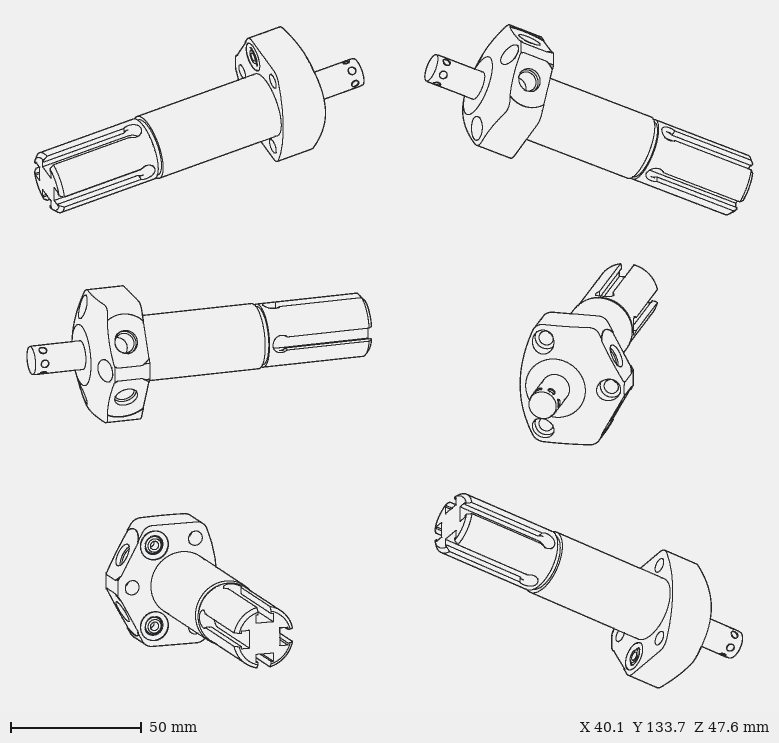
import math
import cadquery as cq


total_length = 133.71
stem_end_y = 39.3
tip_y = stem_end_y - total_length

flange_thickness = 19.1
flange_height = 47.62
flange_left = -25.87
flange_right = 14.24
left_edge_height = 6.4
port_face_angle = 61.5
side_arc_radius = 56.0
corner_radius = 4.5
bevel_inner_radius = 11.8
bevel_angle = 19.5

barrel_radius = 12.6
barrel_end_y = -50.8
groove_radius = 11.2
groove_end_y = -52.7
nose_radius = 12.2
nose_chamfer = 1.5

stem_radius = 5.55
stem_chamfer_length = 1.0
stem_chamfer_depth = 0.15
dimple_radius = 1.5
dimple_depth = 0.5
dimple_count = 6
dimple_y = stem_end_y - 3.8
dimple_tip_angle = 90.0

slot_count = 4
slot_mouth_width = 5.3
slot_floor_width = 7.0
slot_floor_radius = 6.15
slot_lip_radius = 9.4
slot_start_y = -57.6

mount_points = [(-20.2, 0.0), (5.5, 17.45), (5.5, -17.45)]
mount_hole_radius = 2.8
mount_counterbore_radius = 4.35
mount_counterbore_floor_y = 12.0

seal_port_x = -11.1
seal_port_z = 15.9
seal_seat_radius = 5.65
seal_seat_depth = 1.0
seal_boss_base_radius = 3.3
seal_boss_top_radius = 2.65
ring_centre_radius = 4.65
ring_section_radius = 1.0
ring_protrusion = 0.45
seal_port_radius = 1.65
seal_port_depth = 5.0

side_port_y = 8.05
side_port_z = 11.3
spotface_radius = 10.9
spotface_depth = 0.27
side_port_mouth_radius = 4.5
side_port_radius = 3.8
side_port_mouth_depth = 2.2
side_port_taper_length = 0.4
side_port_depth = 12.0

clearance = 10.0


def cylinder(radius, start, direction, length):
    return cq.Workplane(obj=cq.Solid.makeCylinder(radius, length, cq.Vector(*start), cq.Vector(*direction)))


def revolve_about_axis(points):
    """Revolve an (X, Y) outline around the Y axis."""
    return cq.Workplane("XY").polyline(points).close().revolve(360, (0, 0, 0), (0, 1, 0))


def make_flange():
    half_height = flange_height / 2
    half_edge = left_edge_height / 2
    slant_run = (half_height - half_edge) / math.tan(math.radians(port_face_angle))
    arc_drop = side_arc_radius - math.sqrt(side_arc_radius**2 - half_height**2)
    slant_top_x = flange_left + slant_run
    arc_top_x = flange_right - arc_drop
    plate = (
        cq.Workplane("XZ", origin=(0, flange_thickness, 0))
        .moveTo(flange_left, -half_edge)
        .lineTo(flange_left, half_edge)
        .lineTo(slant_top_x, half_height)
        .lineTo(arc_top_x, half_height)
        .threePointArc((flange_right, 0), (arc_top_x, -half_height))
        .lineTo(slant_top_x, -half_height)
        .close()
        .extrude(flange_thickness)
    )
    plate = plate.edges("|Y and (>Z or <Z)").fillet(corner_radius)
    envelope_radius = flange_height
    bevel_drop = (envelope_radius - bevel_inner_radius) * math.tan(math.radians(bevel_angle))
    envelope = revolve_about_axis(
        [
            (0, -clearance),
            (envelope_radius, -clearance),
            (envelope_radius, flange_thickness - bevel_drop),
            (bevel_inner_radius, flange_thickness),
            (0, flange_thickness),
        ]
    )
    return plate.intersect(envelope)


def make_shaft():
    return revolve_about_axis(
        [
            (0, tip_y),
            (nose_radius - nose_chamfer, tip_y),
            (nose_radius, tip_y + nose_chamfer),
            (nose_radius, groove_end_y),
            (groove_radius, groove_end_y),
            (groove_radius, barrel_end_y),
            (barrel_radius, barrel_end_y),
            (barrel_radius, 0),
            (stem_radius, 0),
            (stem_radius, stem_end_y - stem_chamfer_length),
            (stem_radius - stem_chamfer_depth, stem_end_y),
            (0, stem_end_y),
        ]
    )


def make_slot():
    """One T-slot on the +Z side, open at the tip and closed by a round pocket."""
    run = slot_start_y - tip_y + clearance
    centre_y = slot_start_y - run / 2
    reach = nose_radius + clearance - slot_floor_radius
    floor_plane = cq.Workplane("XY", origin=(0, 0, slot_floor_radius))
    mouth = floor_plane.center(0, centre_y).rect(slot_mouth_width, run).extrude(reach)
    undercut = floor_plane.center(0, centre_y).rect(slot_floor_width, run)
    undercut = undercut.extrude(slot_lip_radius - slot_floor_radius)
    pocket = floor_plane.center(0, slot_start_y).circle(slot_floor_width / 2).extrude(reach)
    return mouth.union(undercut).union(pocket)


def make_dimple():
    """One radial dimple on the +X side with a conical bottom."""
    floor_x = stem_radius - dimple_depth
    tip_length = dimple_radius / math.tan(math.radians(dimple_tip_angle / 2))
    profile = [
        (floor_x - tip_length, 0),
        (floor_x, dimple_radius),
        (stem_radius + clearance, dimple_radius),
        (stem_radius + clearance, 0),
    ]
    drill = cq.Workplane("XY").polyline(profile).close().revolve(360, (0, 0, 0), (1, 0, 0))
    return drill.translate((0, dimple_y, 0))


def repeat_around_axis(body, cutter, count):
    for i in range(count):
        body = body.cut(cutter.rotate((0, 0, 0), (0, 1, 0), i * 360 / count))
    return body


def cut_mount_holes(body):
    for x, z in mount_points:
        through_length = flange_thickness + 2 * clearance
        body = body.cut(cylinder(mount_hole_radius, (x, -clearance, z), (0, 1, 0), through_length))
        counterbore_start = (x, mount_counterbore_floor_y, z)
        body = body.cut(cylinder(mount_counterbore_radius, counterbore_start, (0, 1, 0), flange_thickness))
    return body


def cut_side_port(body, side):
    """Spotface and stepped port square to the slanted face on the given Z side (+1 or -1)."""
    angle = math.radians(port_face_angle)
    inward = (math.sin(angle), 0, -side * math.cos(angle))
    face_x = flange_left + (side_port_z - left_edge_height / 2) / math.tan(angle)
    start = (face_x - clearance * inward[0], side_port_y, side * side_port_z - clearance * inward[2])
    body = body.cut(cylinder(spotface_radius, start, inward, clearance + spotface_depth))
    mouth_length = clearance + side_port_mouth_depth
    body = body.cut(cylinder(side_port_mouth_radius, start, inward, mouth_length))
    taper = cq.Solid.makeCone(
        side_port_mouth_radius,
        side_port_radius,
        side_port_taper_length,
        cq.Vector(*start) + cq.Vector(*inward) * mouth_length,
        cq.Vector(*inward),
    )
    body = body.cut(cq.Workplane(obj=taper))
    return body.cut(cylinder(side_port_radius, start, inward, clearance + side_port_depth))


def add_seal_port(body, side):
    """Port in the front face: a ring seat around a tapered, drilled boss, holding a proud sealing ring."""
    port_z = side * seal_port_z
    centre = (seal_port_x, 0, port_z)
    body = body.cut(cylinder(seal_seat_radius, centre, (0, 1, 0), seal_seat_depth))
    boss = cq.Solid.makeCone(
        seal_boss_top_radius,
        seal_boss_base_radius,
        seal_seat_depth,
        cq.Vector(*centre),
        cq.Vector(0, 1, 0),
    )
    body = body.union(cq.Workplane(obj=boss))
    body = body.cut(cylinder(seal_port_radius, centre, (0, 1, 0), seal_port_depth))
    ring_centre = cq.Vector(seal_port_x, ring_section_radius - ring_protrusion, port_z)
    ring = cq.Solid.makeTorus(ring_centre_radius, ring_section_radius, ring_centre, cq.Vector(0, 1, 0))
    return body.union(cq.Workplane(obj=ring))


shaft = repeat_around_axis(make_shaft(), make_slot(), slot_count)
shaft = repeat_around_axis(shaft, make_dimple(), dimple_count)
part = make_flange().union(shaft)
part = cut_mount_holes(part)
for side in (1, -1):
    part = cut_side_port(part, side)
    part = add_seal_port(part, side)

result = part